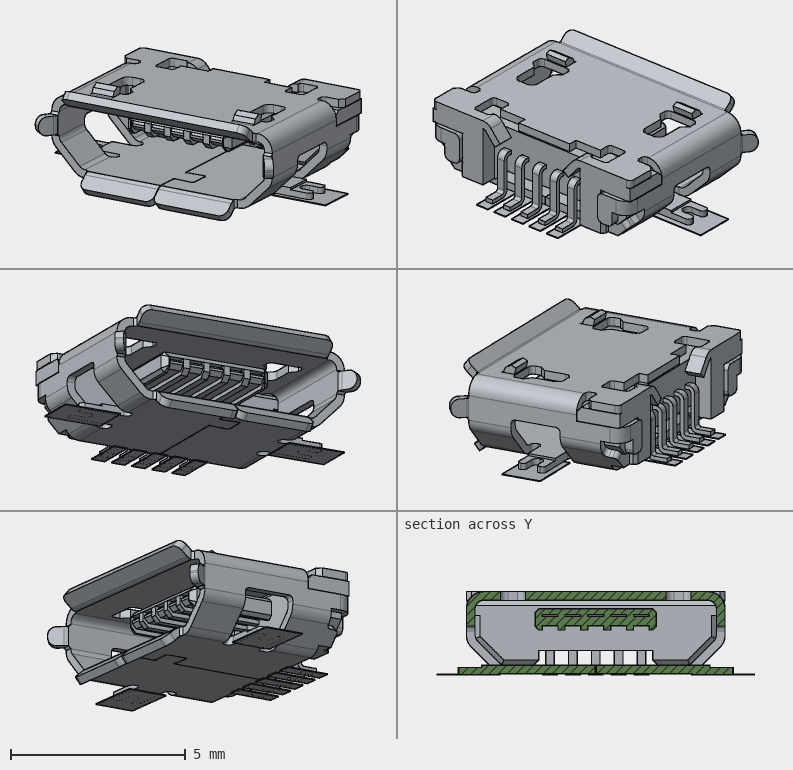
import cadquery as cq
import math

half_width = 3.71
height = 2.36
slope_run = 0.91
bend_radius = 0.5
sheet = 0.25
top_rear = 4.91
floor_rear = 4.29
rear_pad_end = 5.545
lip_reach = 0.57
root_flare = 0.07
wide_span = 9.09
ceiling = height - sheet

housing_front = 3.51
housing_chamfer = 0.145
shelf_z = 1.67
strap_z = 1.2
strap_start = 4.61
strap_inner = 2.59
hook_bottom = 0.7
center_rear = 4.4
wing_inner = 1.82

window_front, window_rear = 1.38, 2.98
window_top = 1.37
neck_front, neck_rear = 1.7, 2.59
relief_x = 2.4

latch_inner, latch_outer = 2.02, 2.73
latch_rear = 1.01
key_front, key_rear = 0.65, 1.31

pad_thickness = 0.03
pin_count = 5
pin_pitch = 0.65
pin_width = 0.25
pin_thickness = 0.13


def box(x0, x1, y0, y1, z0, z1):
    """Block between two corners, given as pairs of limits along X, Y and Z."""
    return cq.Workplane("XY").box(x1 - x0, y1 - y0, z1 - z0, centered=False).translate((x0, y0, z0))


def prism_y(points, y0, y1):
    """Extrude an XZ outline from y0 to y1."""
    return cq.Workplane("XZ", origin=(0, y0, 0)).polyline(points).close().extrude(y0 - y1)


def prism_z(points, z0, z1):
    """Extrude an XY outline from z0 to z1."""
    return cq.Workplane("XY", origin=(0, 0, z0)).polyline(points).close().extrude(z1 - z0)


def prism_x(points, x0, x1):
    """Extrude a YZ outline from x0 to x1."""
    return cq.Workplane("YZ", origin=(x0, 0, 0)).polyline(points).close().extrude(x1 - x0)


def both_sides(solid):
    """The solid together with its mirror image across the middle plane."""
    return solid.union(solid.mirror("YZ"))


def straight_length(reach, angle, radius):
    """Straight part of a bent tab whose outermost corner lies at the given reach."""
    a = math.radians(angle)
    return (reach - (radius + sheet) * math.sin(a)) / math.cos(a)


def bent_tab(origin, along, toward, width, angle, radius, length, corner=0.0, flare=0.0):
    """Sheet tab leaving 'origin' in direction 'along' and bent by 'angle' to the side 'toward'."""
    a = math.radians(angle)
    run_x, run_y = length * math.cos(a), length * math.sin(a)
    outer = radius + sheet

    def on_arc(r, t):
        return r * math.sin(t), outer - r * math.cos(t)

    outer_x, outer_y = on_arc(outer, a)
    inner_x, inner_y = on_arc(radius, a)
    tab = (
        cq.Workplane("XY", origin=(0, 0, -width / 2))
        .moveTo(0, 0)
        .threePointArc(on_arc(outer, a / 2), (outer_x, outer_y))
        .lineTo(outer_x + run_x, outer_y + run_y)
        .lineTo(inner_x + run_x, inner_y + run_y)
        .lineTo(inner_x, inner_y)
        .threePointArc(on_arc(radius, a / 2), (0, sheet))
        .close()
        .extrude(width)
    )
    if corner:
        tip = tab.faces(cq.selectors.DirectionMinMaxSelector(cq.Vector(run_x, run_y), True))
        tab = tip.edges(cq.selectors.ParallelDirSelector(cq.Vector(-run_y, run_x))).fillet(corner)
    if flare:
        wide, narrow = width / 2 + flare, width / 2
        root = [(0, -wide), (flare, -narrow), (flare, narrow), (0, wide)]
        tab = tab.union(cq.Workplane("XZ").polyline(root).close().extrude(-sheet))
    normal = cq.Vector(*along).cross(cq.Vector(*toward))
    frame = cq.Plane(origin=origin, xDir=along, normal=normal.toTuple())
    return cq.Workplane(tab.val().moved(cq.Location(frame)))


def section(inset, y0, y1):
    """Prism with the shell cross-section, shrunk inward by 'inset'."""
    half = half_width - inset
    run = slope_run - inset * (2 - math.sqrt(2))
    right = [(half - run, inset), (half, inset + run), (half, height - inset)]
    left = [(-x, z) for x, z in reversed(right)]
    return prism_y(right + left, y0, y1)


def shell_tube():
    """Bent sheet tube, open at both ends, with a flat square-cornered plate at the rear."""
    tube = section(0, 0, top_rear).edges("|Y").fillet(bend_radius)
    bore = section(sheet, 0, top_rear).edges("|Y").fillet(bend_radius - sheet)
    tube = tube.cut(bore)
    tube = tube.cut(box(-half_width, half_width, housing_front, top_rear, shelf_z, height))
    plate = box(-half_width, half_width, housing_front, top_rear, ceiling, height)
    plate_corner = 0.145
    tube = tube.union(plate.edges("|Z and >Y").fillet(plate_corner))
    return tube.cut(box(-half_width, half_width, floor_rear, top_rear, 0, sheet))


def side_wall_cuts():
    """Mounting windows, relief slots and rear notches in the side walls."""
    flat_end = half_width - slope_run - bend_radius * math.tan(math.pi / 8)
    window_corner, relief_round = 0.145, 0.15
    window = box(flat_end, half_width, window_front, window_rear, 0, window_top)
    window = window.edges("|X and >Z").fillet(window_corner)
    for y0, y1 in ((window_front, neck_front), (neck_rear, window_rear)):
        slot = box(relief_x, half_width, y0, y1, 0, 2 * sheet)
        window = window.union(slot.edges("|Z and <X").fillet(relief_round))
    slope_end, notch_floor, notch_corner = 4.69, 0.65, 0.14
    edge_sum = half_width - slope_run + 2 * notch_floor
    corner = prism_y(
        [(edge_sum - strap_z, strap_z), (half_width, strap_z), (half_width, edge_sum - half_width)],
        floor_rear, top_rear,
    )
    tail = box(sheet, half_width, slope_end, top_rear, 0, strap_z)
    corner = corner.union(tail).edges(cq.selectors.ParallelDirSelector(cq.Vector(1, 0, -1)))
    corner = corner.fillet(notch_corner)
    wall_end = box(half_width - sheet, half_width, strap_start, top_rear, strap_z, shelf_z)
    return both_sides(window.union(corner).union(wall_end))


def top_plate_cuts():
    """Side notches, rear cutout with its two pockets, and latch slots."""
    notch_x, notch_rear = 3.04, 3.845
    notch_flare, notch_round, pocket_round = 0.145, 0.12, 0.11
    notch = prism_z(
        [(notch_x, housing_front), (half_width, housing_front), (half_width, notch_rear + notch_flare),
         (half_width - notch_flare, notch_rear), (notch_x, notch_rear)], ceiling, height,
    )
    notch = notch.edges("|Z and <X").fillet(notch_round)

    step_inner, pocket_inner, pocket_outer = 0.95, 1.86, 2.49
    pocket_front, step_front, plate_rear, pocket_rear = 3.645, 4.06, 4.345, 4.54
    pocket = box(pocket_inner, pocket_outer, pocket_front, pocket_rear, ceiling, height)
    pocket = pocket.edges("|Z").fillet(pocket_round)
    step = box(step_inner, pocket_inner, step_front, center_rear, ceiling, height)
    rear = box(0, wing_inner, plate_rear, top_rear, ceiling, height)

    slot_rear, flare_rear, flare = 2.45, 1.55, 0.21
    flare_front = flare_rear - flare
    latch_slot = prism_z(
        [(latch_inner, slot_rear), (latch_outer, slot_rear), (latch_outer, flare_rear),
         (latch_outer + flare, flare_front), (latch_outer + flare, latch_rear),
         (latch_inner - flare, latch_rear), (latch_inner - flare, flare_front),
         (latch_inner, flare_rear)], ceiling, height,
    )
    rear_round, front_round = 0.22, 0.14
    latch_slot = latch_slot.edges("|Z and >Y").fillet(rear_round)
    latch_slot = latch_slot.edges("|Z and <Y").fillet(front_round)
    return both_sides(notch.union(pocket).union(step).union(rear).union(latch_slot))


def latches():
    """Spring latches rising from the top plate, with a rounded back and a free rear end."""
    root_y = 0.54
    profile = [(root_y, ceiling), (root_y, height), (0.6, 2.38), (0.67, 2.53), (0.85, 2.63),
               (latch_rear, 2.56), (0.96, height), (0.82, ceiling)]
    return both_sides(prism_x(profile, latch_inner, latch_outer))


def mouth_lips():
    """One wide lip above the mouth and two half-width lips below it, flared outward."""
    angle, radius, corner = 40, 0.07, 0.24
    length = straight_length(lip_reach, angle, radius)
    top_width, half_lip = 6.18, 2.46
    top = bent_tab((0, 0, ceiling), (0, -1, 0), (0, 0, 1), top_width, angle, radius,
                   length, corner, root_flare)
    bottom = bent_tab((half_lip / 2, 0, sheet), (0, -1, 0), (0, 0, -1), half_lip, angle, radius,
                      length, corner, root_flare)
    return top.union(both_sides(bottom))


def mouth_ears():
    """Rounded ears at the sides of the mouth, flared outward."""
    angle, radius, corner = 37, 0.07, 0.26
    length = straight_length(lip_reach, angle, radius)
    ear_z, ear_height = 1.48, 0.57
    root = (half_width - sheet, 0, ear_z)
    ear = bent_tab(root, (0, -1, 0), (1, 0, 0), ear_height, angle, radius,
                   length, corner, root_flare)
    return both_sides(ear)


def rear_wings():
    """Tabs at the inner edges of the top plate wings, bent down."""
    angle, radius, wing_reach = 50, 0.14, 0.64
    length = straight_length(wing_reach, angle, radius)
    middle = (center_rear + top_rear) / 2
    depth = top_rear - center_rear
    wing = bent_tab((wing_inner, middle, height), (-1, 0, 0), (0, 0, -1), depth, angle, radius, length)
    return both_sides(wing)


def rear_straps():
    """Side wall tabs wrapped around the back of the housing, with a hook pointing down."""
    radius, right_angle, corner = 0.18, 90, 0.17
    length = half_width - strap_inner - radius - sheet
    middle = (shelf_z + strap_z) / 2
    strap = bent_tab((half_width, strap_start, middle), (0, 1, 0), (-1, 0, 0),
                     shelf_z - strap_z, right_angle, radius, length, corner)
    back = strap_start + radius + sheet
    hook_outer = 3.14
    hook = box(strap_inner, hook_outer, back - sheet, back, hook_bottom, middle)
    hook = hook.edges("|Y and <Z").fillet(corner)
    return both_sides(strap.union(hook))


def mounting_feet():
    """Forked feet on the sides, each lying on a thin solder pad."""
    step_x, tip_x, finger_height = 3.27, 3.945, 0.19
    neck = box(relief_x, step_x, neck_front, neck_rear, 0, sheet)
    fork = box(step_x, tip_x, neck_front, neck_rear, 0, finger_height)
    gap_end, gap_front, gap_rear = 3.36, 1.96, 2.32
    gap_round, tip_round = 0.16, 0.12
    gap = box(gap_end, tip_x, gap_front, gap_rear, 0, finger_height)
    fork = fork.cut(gap.edges("|Z and <X").fillet(gap_round))
    fork = fork.edges("|Z and >X").fillet(tip_round)
    pad_inner, pad_front, pad_rear = 2.745, 1.545, 2.78
    pad = box(pad_inner, wide_span / 2, pad_front, pad_rear, -pad_thickness, 0)
    return both_sides(neck.union(fork).union(pad))


def seam_key(inset):
    """Dovetail tongue of the floor joint, shrunk by 'inset'."""
    length, flare, corner = 0.67, 0.04, 0.09
    tip, front, rear = length - inset, key_front + inset, key_rear - inset
    outline = [(-inset, front), (tip, front - flare), (tip, rear + flare), (-inset, rear)]
    return prism_z(outline, 0, sheet).edges("|Z and >X").fillet(corner - inset)


def floor_seam():
    """Narrow interlocking joint between the two halves of the shell floor."""
    gap = 0.02
    seam = box(-gap / 2, gap / 2, -lip_reach, floor_rear, -height, sheet)
    seam = seam.cut(box(-gap, gap, key_front, key_rear, -height, sheet))
    return seam.union(seam_key(0).cut(seam_key(gap)))


def housing():
    """Plastic body filling the rear of the shell, open underneath around the contacts."""
    body = section(sheet, housing_front, top_rear).edges("|Y and >Z").fillet(bend_radius - sheet)
    body = body.faces("<Y").edges().chamfer(housing_chamfer)
    shoulder_x = 3.68
    shoulder = box(-shoulder_x, shoulder_x, housing_front, top_rear, shelf_z, ceiling)
    body = body.union(shoulder.edges("<Y and >Z").chamfer(housing_chamfer))
    slot_x, slot_top = 1.63, 0.67
    flare_z = sheet + housing_chamfer
    flare_x = slot_x + housing_chamfer
    slot = [(-flare_x, sheet), (-slot_x, flare_z), (-slot_x, slot_top),
            (slot_x, slot_top), (slot_x, flare_z), (flare_x, sheet)]
    body = body.cut(prism_y(slot, housing_front, top_rear))
    recess_front, corner_front, corner_x = 4.79, 4.69, 2.69
    recess = box(strap_inner, half_width, recess_front, top_rear, hook_bottom, shelf_z)
    recess = recess.union(box(corner_x, half_width, corner_front, top_rear, 0, hook_bottom))
    rear_bevel = 0.11
    bevel = prism_z(
        [(corner_x, top_rear), (corner_x, top_rear - rear_bevel), (corner_x - rear_bevel, top_rear)],
        0, hook_bottom,
    )
    body = body.cut(both_sides(recess.union(bevel)))
    return body.cut(box(-wing_inner, wing_inner, center_rear, top_rear, 0, height))


def tongue():
    """Bevelled plug tongue reaching from the housing toward the mouth."""
    tongue_front, tongue_x, bottom, top = 0.82, 1.74, 1.25, 1.87
    bevel, edge_bevel = 0.17, 0.11
    body = box(-tongue_x, tongue_x, tongue_front, housing_front + bevel, bottom, top)
    body = body.edges("|Y").chamfer(edge_bevel).faces("<Y").chamfer(bevel)
    bar_width, bar_bottom, bar_top, setback = 0.445, 1.38, 1.65, 0.045
    bar_bevel, nose_bevel = 0.14, 0.06
    groove_top = top - bevel
    for x in pin_positions():
        left, right = x - bar_width / 2, x + bar_width / 2
        body = body.cut(box(left, right, tongue_front, housing_front, bottom, groove_top))
        bar = box(left, right, tongue_front + setback, housing_front, bar_bottom, bar_top)
        bar = bar.edges("<Y and <Z").chamfer(bar_bevel).edges("<Y and >Z").chamfer(nose_bevel)
        body = body.union(bar)
    return body


def pin_positions():
    return [(i - (pin_count - 1) / 2) * pin_pitch for i in range(pin_count)]


def contact(x):
    """Contact leg bent down and back behind the housing, on its solder pad."""
    leg_rear, tail_end, tail_top = 4.72, 5.24, 1.41
    leg_front = leg_rear - pin_thickness
    root = center_rear - 2 * pin_thickness
    profile = [(root, tail_top), (leg_rear, tail_top), (leg_rear, pin_thickness), (tail_end, pin_thickness),
               (tail_end, 0), (leg_front, 0), (leg_front, tail_top - pin_thickness),
               (root, tail_top - pin_thickness)]
    pin = prism_x(profile, x - pin_width / 2, x + pin_width / 2)
    inner_bend = 0.09
    for y, z, radius in (
        (leg_rear, tail_top, inner_bend + pin_thickness),
        (leg_front, tail_top - pin_thickness, inner_bend),
        (leg_rear, pin_thickness, inner_bend),
        (leg_front, 0, inner_bend + pin_thickness),
    ):
        pin = pin.edges(cq.selectors.NearestToPointSelector((x, y, z))).fillet(radius)
    pad_width, pad_front = 0.43, 4.2
    pad = box(x - pad_width / 2, x + pad_width / 2, pad_front, rear_pad_end, -pad_thickness, 0)
    return pin.union(pad)


result = shell_tube().cut(side_wall_cuts()).cut(top_plate_cuts())
result = result.union(latches()).union(mouth_lips()).union(mouth_ears())
result = result.cut(floor_seam())
result = result.union(rear_wings()).union(rear_straps()).union(mounting_feet())
result = result.union(housing()).union(tongue())
for pin_x in pin_positions():
    result = result.union(contact(pin_x))